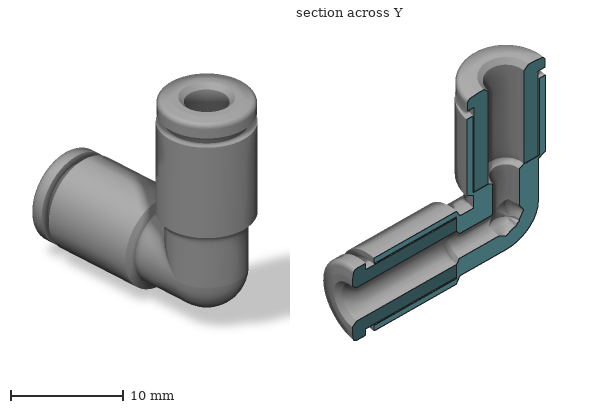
import cadquery as cq
import math

overall_size = 22.25
sleeve_diameter = 9.1
sleeve_radius = sleeve_diameter / 2
arm_length = overall_size - sleeve_radius

elbow_radius = 7.5 / 2
socket_radius = 7.6 / 2
sleeve_mouth = arm_length - 2.5
taper_start = arm_length - 12.0
taper_end = arm_length - 12.42

flange_radius = 9.0 / 2
neck_radius = 7.4 / 2
tube_radius = 4.1 / 2
flange_thickness = 1.55
flange_rim_drop = 0.6
face_outer_radius = 8.19 / 2
face_inner_radius = 6.5 / 2
face_drop = 0.11
lead_in_radius = 5.07 / 2
lead_in_depth = lead_in_radius - tube_radius
collar_base = taper_start

passage_radius = 3.0 / 2
passage_overrun = 1.11
drill_half_angle = math.radians(59)


def drill_cone_depth(outer_radius, inner_radius=0.0):
    return (outer_radius - inner_radius) / math.tan(drill_half_angle)


def turned(profile):
    """Revolve a closed (radius, height) profile about the Z axis."""
    return profile.close().revolve(360, (0, 0, 0), (0, 1, 0))


def on_arm(body, angle):
    """Swing a body built along +Z onto an arm by turning it about the Y axis."""
    return body.rotate((0, 0, 0), (0, 1, 0), angle)


def arm_blank():
    return turned(
        cq.Workplane("XZ")
        .lineTo(elbow_radius, 0)
        .lineTo(elbow_radius, taper_end)
        .lineTo(sleeve_radius, taper_start)
        .lineTo(sleeve_radius, sleeve_mouth)
        .lineTo(0, sleeve_mouth)
    )


def arm_cavity():
    """Collar socket, conical tube seat and drilled passage with its pointed end."""
    seat_end = collar_base - drill_cone_depth(tube_radius, passage_radius)
    tip = -passage_overrun - drill_cone_depth(passage_radius)
    return turned(
        cq.Workplane("XZ")
        .moveTo(0, tip)
        .lineTo(passage_radius, -passage_overrun)
        .lineTo(passage_radius, seat_end)
        .lineTo(tube_radius, collar_base)
        .lineTo(socket_radius, collar_base)
        .lineTo(socket_radius, sleeve_mouth)
        .lineTo(0, sleeve_mouth)
    )


def make_housing():
    body = cq.Workplane("XY").sphere(elbow_radius)
    for angle in arm_angles:
        body = body.union(on_arm(arm_blank(), angle))
    for angle in arm_angles:
        body = body.cut(on_arm(arm_cavity(), angle))
    return body.solids()


def make_collar():
    flange_base = arm_length - flange_thickness
    rim_start = arm_length - flange_rim_drop
    face_edge = arm_length - face_drop
    return turned(
        cq.Workplane("XZ")
        .moveTo(tube_radius, collar_base)
        .lineTo(neck_radius, collar_base)
        .lineTo(neck_radius, flange_base)
        .lineTo(flange_radius, flange_base)
        .lineTo(flange_radius, rim_start)
        .tangentArcPoint((face_outer_radius, face_edge), relative=False)
        .lineTo(face_inner_radius, arm_length)
        .lineTo(lead_in_radius, arm_length)
        .lineTo(tube_radius, arm_length - lead_in_depth)
    )


arm_angles = (0, -90)
housing = make_housing()
collars = [on_arm(make_collar(), angle) for angle in arm_angles]

result = cq.Compound.makeCompound([housing.val(), *[collar.val() for collar in collars]])